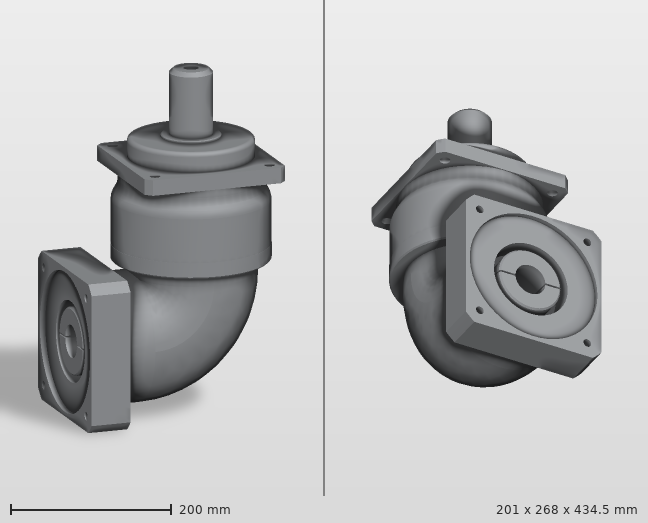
import cadquery as cq
import math


total_height = 434.5
total_depth = 268.0
ring_diameter = 201.0
input_width = 192.0

ring_radius = ring_diameter / 2
input_half = input_width / 2
shaft_top = total_height - input_half
input_face = ring_radius - total_depth

shaft_diameter = 55.0
shaft_chamfer = 5.0
shaft_length = 84.5
centre_hole_diameter = 19.0
centre_hole_depth = 30.5
seal_diameter = 76.0
seal_height = 3.5
seal_chamfer = 1.1

pilot_diameter = 160.0
pilot_height = 25.0
pilot_fillet = 5.5
flange_width = 186.5
flange_thickness = 20.0
flange_corner_diameter = 252.0
flange_hole_diameter = 13.5
hole_spacing = 152.0

body_diameter = 200.0
neck_length = 10.0
blend_radius = 20.0
blend_angle = math.radians(30)
cone_length = 5.0
body_bottom = 93.0
ring_height = 20.5
ring_chamfer = 1.7

pipe_diameter = 166.8
bend_radius = 78.0

input_thickness = 51.5
input_corner_diameter = 255.0
input_hole_diameter = 11.0
input_hole_depth = 26.0
recess_diameter = 180.5
recess_depth = 7.5
cavity_diameter = 104.2
cavity_depth = 39.0
hub_diameter = 87.0
hub_setback = 8.3
hub_chamfer = 2.0
hub_bore_diameter = 42.0
hub_bore_depth = 52.0
hub_slit = 2.5

drill_point_angle = math.radians(118)

seal_top = shaft_top - shaft_length
pilot_top = seal_top - seal_height
flange_top = pilot_top - pilot_height
flange_bottom = flange_top - flange_thickness


def disc(diameter, bottom, top):
    """Cylinder on the Z axis between two heights."""
    return cq.Workplane("XY").workplane(offset=bottom).circle(diameter / 2).extrude(top - bottom)


def input_plane(setback):
    """Plane facing -Y on the input axis, set back from the input face."""
    return cq.Workplane("XZ", origin=(0, input_face + setback, 0))


def turned_square(base, width, corner_diameter, thickness):
    """Square plate with its four corners turned down to a common circle."""
    square = base.rect(width, width).extrude(thickness)
    return square.intersect(base.circle(corner_diameter / 2).extrude(thickness))


def drill(diameter, depth):
    """Drill-shaped tool pointing down from the origin: cylinder with a conical tip."""
    radius = diameter / 2
    tip = radius / math.tan(drill_point_angle / 2)
    return (
        cq.Workplane("XZ")
        .polyline([(0, 0), (radius, 0), (radius, -depth), (0, -depth - tip)])
        .close()
        .revolve(360, (0, 0, 0), (0, 1, 0))
    )


def make_shaft():
    shaft = disc(shaft_diameter, body_bottom, shaft_top).faces(">Z").chamfer(shaft_chamfer)
    seal = disc(seal_diameter, flange_top, seal_top).faces(">Z").chamfer(seal_chamfer)
    return shaft.union(seal)


def make_flange():
    base = cq.Workplane("XY").workplane(offset=flange_bottom)
    plate = turned_square(base, flange_width, flange_corner_diameter, flange_thickness)
    holes = (
        base.rect(hole_spacing, hole_spacing, forConstruction=True)
        .vertices()
        .circle(flange_hole_diameter / 2)
        .extrude(flange_thickness)
    )
    pilot = disc(pilot_diameter, flange_bottom, pilot_top).faces(">Z").edges().fillet(pilot_fillet)
    return plate.cut(holes).union(pilot)


def make_body():
    arc_rise = blend_radius * math.sin(blend_angle)
    arc_spread = blend_radius * (1 - math.cos(blend_angle))
    half_rise = blend_radius * math.sin(blend_angle / 2)
    half_spread = blend_radius * (1 - math.cos(blend_angle / 2))

    body_radius = body_diameter / 2
    neck_radius = body_radius - 2 * arc_spread - cone_length * math.tan(blend_angle)
    neck_bottom = flange_bottom - neck_length
    cone_top = neck_bottom - arc_rise
    cone_bottom = cone_top - cone_length
    cylinder_top = cone_bottom - arc_rise
    ring_top = body_bottom + ring_height

    return (
        cq.Workplane("XZ")
        .moveTo(0, flange_bottom)
        .lineTo(neck_radius, flange_bottom)
        .lineTo(neck_radius, neck_bottom)
        .threePointArc(
            (neck_radius + half_spread, neck_bottom - half_rise),
            (neck_radius + arc_spread, cone_top),
        )
        .lineTo(body_radius - arc_spread, cone_bottom)
        .threePointArc(
            (body_radius - half_spread, cylinder_top + half_rise),
            (body_radius, cylinder_top),
        )
        .lineTo(body_radius, ring_top)
        .lineTo(ring_radius, ring_top)
        .lineTo(ring_radius, body_bottom + ring_chamfer)
        .lineTo(ring_radius - ring_chamfer, body_bottom)
        .lineTo(0, body_bottom)
        .close()
        .revolve(360, (0, 0, 0), (0, 1, 0))
    )


def make_elbow():
    pipe_radius = pipe_diameter / 2
    trim_half_width = math.sqrt(pipe_radius**2 - bend_radius**2)
    lower_angle = math.asin(bend_radius / pipe_radius) / 2
    lower_x = pipe_radius * math.cos(lower_angle)
    lower_y = -pipe_radius * math.sin(lower_angle)
    bend = (
        cq.Workplane("XY", origin=(0, 0, bend_radius))
        .moveTo(trim_half_width, -bend_radius)
        .threePointArc((lower_x, lower_y), (pipe_radius, 0))
        .threePointArc((0, pipe_radius), (-pipe_radius, 0))
        .threePointArc((-lower_x, lower_y), (-trim_half_width, -bend_radius))
        .close()
        .revolve(90, (4.5, -bend_radius, 0), (0, -bend_radius, 0))
    )
    output_leg = disc(pipe_diameter, bend_radius, body_bottom)
    plate_back = input_face + input_thickness
    input_leg = (
        cq.Workplane("XZ", origin=(0, -bend_radius, 0))
        .circle(pipe_radius)
        .extrude(-bend_radius - plate_back)
    )
    return bend.union(output_leg).union(input_leg)


def make_input_plate():
    base = input_plane(input_thickness)
    return turned_square(base, input_width, input_corner_diameter, input_thickness)


def make_input_cavity():
    recess = input_plane(recess_depth).circle(recess_diameter / 2).extrude(recess_depth)
    bore = input_plane(cavity_depth).circle(cavity_diameter / 2).extrude(cavity_depth)
    return recess.union(bore)


def make_hub():
    length = cavity_depth - hub_setback
    hub = input_plane(cavity_depth).circle(hub_diameter / 2).extrude(length)
    hub = hub.faces("<Y").chamfer(hub_chamfer)
    slit = input_plane(cavity_depth).rect(hub_diameter, hub_slit).extrude(length)
    return hub.cut(slit)


def make_input_holes():
    tool = drill(input_hole_diameter, input_hole_depth).rotate((0, 0, 0), (1, 0, 0), 90)
    tool = tool.translate((0, input_face, 0))
    holes = cq.Workplane("XY")
    for x in (-hole_spacing / 2, hole_spacing / 2):
        for z in (-hole_spacing / 2, hole_spacing / 2):
            holes = holes.add(tool.translate((x, 0, z)))
    return holes.combine()


centre_hole = drill(centre_hole_diameter, centre_hole_depth).translate((0, 0, shaft_top))
hub_bore = input_plane(hub_bore_depth).circle(hub_bore_diameter / 2).extrude(hub_bore_depth)

result = make_body().union(make_flange()).union(make_shaft()).cut(centre_hole)
result = result.union(make_elbow()).union(make_input_plate())
result = result.cut(make_input_cavity()).union(make_hub())
result = result.cut(hub_bore).cut(make_input_holes())